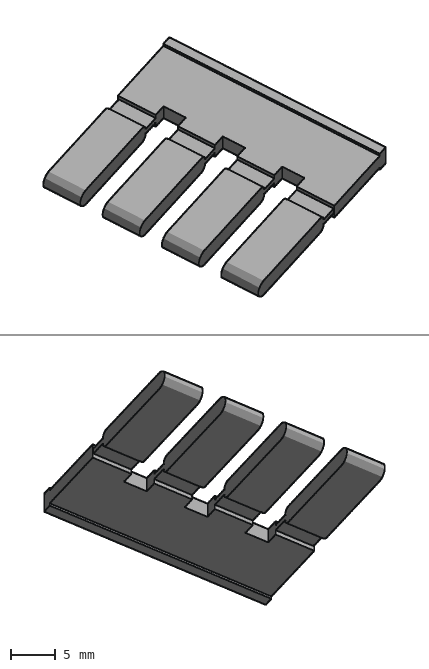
import cadquery as cq

spine_width = 29.2
overall_length = 25.15

rim_depth = 1.2
slot_start = 8.65
spine_depth = 10.2
blade_start = 12.15

rim_thickness = 2.7
spine_thickness = 2.0
neck_thickness = 0.8
blade_thickness = 2.4

finger_count = 4
finger_pitch = 8.0
finger_width = 5.0
shoulder_radius = 0.8
finger_offset_z = 0.05

slot_width = finger_pitch - finger_width


def plate(width, y_rear, y_front, thickness, x_centre=0, z_centre=0):
    """Flat block reaching from y_rear to y_front, both measured from the rear edge."""
    return (
        cq.Workplane("XY")
        .box(width, y_front - y_rear, thickness)
        .translate((x_centre, -(y_rear + y_front) / 2, z_centre))
    )


def finger(x_centre):
    """Thin neck that carries a thicker blade with rounded shoulders and a full-round tip."""
    tip_radius = blade_thickness / 2
    tip_start = overall_length - tip_radius
    neck = plate(finger_width, spine_depth, tip_start, neck_thickness, x_centre, finger_offset_z)
    blade = plate(finger_width, blade_start, tip_start, blade_thickness, x_centre, finger_offset_z)
    blade = blade.faces(">Y").edges("|X").fillet(shoulder_radius)
    tip = (
        cq.Workplane("YZ")
        .center(-tip_start, finger_offset_z)
        .circle(tip_radius)
        .extrude(finger_width / 2, both=True)
        .translate((x_centre, 0, 0))
    )
    return neck.union(blade).union(tip)


result = plate(spine_width, 0, spine_depth, spine_thickness)
result = result.union(plate(spine_width, 0, rim_depth, rim_thickness))

for i in range(finger_count - 1):
    slot_x = (i - (finger_count - 2) / 2) * finger_pitch
    result = result.cut(plate(slot_width, slot_start, spine_depth, spine_thickness, slot_x))

for i in range(finger_count):
    finger_x = (i - (finger_count - 1) / 2) * finger_pitch
    result = result.union(finger(finger_x))

result = result.clean()